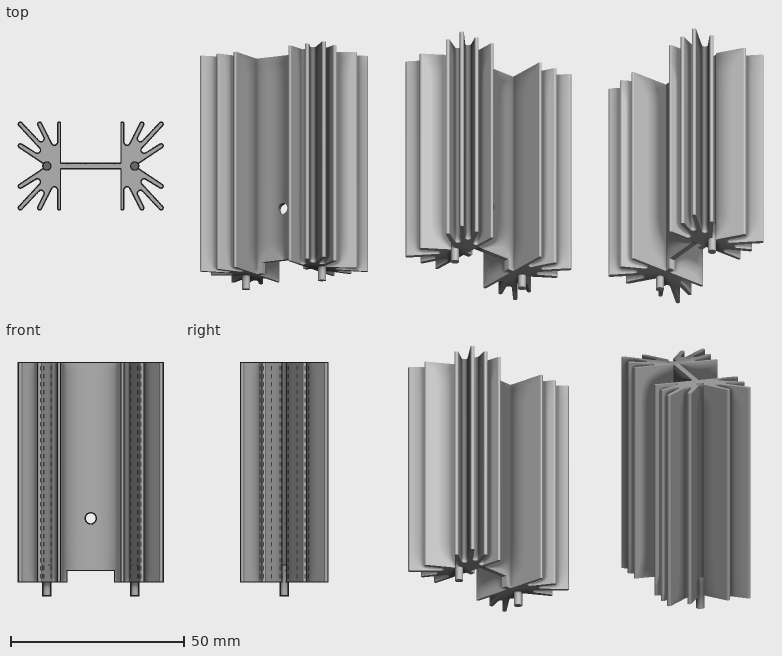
import cadquery as cq
import math

overall_width = 41.91
overall_depth = 25.4
sink_height = 63.5

web_thickness = 1.65
web_half_length = 8.69
upright_fin_thickness = 0.91

fin_tip_radius = 0.6
valley_radius = 0.88
upright_tip_radius = upright_fin_thickness / 2

pin_diameter = 2.36
pin_spacing = 25.4
pin_projection = 3.96
pin_insertion = 4.95

screw_hole_diameter = 3.17
screw_hole_height = 18.4

notch_width = 13.6
notch_height = 3.3

pin_x = -pin_spacing / 2
outer_tip_x = -overall_width / 2 + fin_tip_radius
outer_tip_y = overall_depth / 2 - fin_tip_radius
upright_tip_x = -web_half_length - upright_tip_radius
upright_valley_x = -web_half_length - upright_fin_thickness - valley_radius

low_tip = (outer_tip_x, 5.85)
low_valley = (-15.42, 4.58)
diagonal_tip = (outer_tip_x, outer_tip_y)
steep_valley = (-14.36, 7.9)
steep_tip = (-14.78, outer_tip_y)
upright_valley = (upright_valley_x, 6.88)
upright_tip = (upright_tip_x, overall_depth / 2 - upright_tip_radius)
web_corner = (-web_half_length, web_thickness / 2)

quarter_outline = [
    ((pin_x, 0), 0),
    (low_tip, fin_tip_radius),
    (low_valley, -valley_radius),
    (diagonal_tip, fin_tip_radius),
    (steep_valley, -valley_radius),
    (steep_tip, fin_tip_radius),
    (upright_valley, -valley_radius),
    (upright_tip, upright_tip_radius),
    (web_corner, 0),
]


def tangent_normal_angle(start, end):
    """Angle of the left-hand normal of the straight line tangent to two outline circles."""
    (start_x, start_y), start_radius = start
    (end_x, end_y), end_radius = end
    run = end_x - start_x
    rise = end_y - start_y
    swing = math.asin((end_radius - start_radius) / math.hypot(run, rise))
    return math.atan2(rise, run) + swing + math.pi / 2


def point_on(circle, angle):
    """Point of an outline circle at an angle; a negative radius gives the opposite side."""
    (x, y), radius = circle
    return (x + radius * math.cos(angle), y + radius * math.sin(angle))


def quarter_of_sink():
    normals = [tangent_normal_angle(a, b) for a, b in zip(quarter_outline, quarter_outline[1:])]
    profile = cq.Workplane("XY").moveTo(pin_x, 0)
    for circle, angle_in, angle_out in zip(quarter_outline[1:-1], normals, normals[1:]):
        turn_sign = math.copysign(1, -circle[1])
        turn = turn_sign * ((turn_sign * (angle_out - angle_in)) % (2 * math.pi))
        profile = profile.lineTo(*point_on(circle, angle_in))
        profile = profile.threePointArc(point_on(circle, angle_in + turn / 2), point_on(circle, angle_out))
    profile = profile.lineTo(*web_corner).lineTo(0, web_thickness / 2).lineTo(0, 0).close()
    return profile.extrude(sink_height)


def pin_cylinders(bottom, length):
    pin_places = [(pin_x, 0), (-pin_x, 0)]
    plane = cq.Workplane("XY").workplane(offset=bottom).pushPoints(pin_places)
    return plane.circle(pin_diameter / 2).extrude(length)


def heat_sink():
    quarter = quarter_of_sink()
    half = quarter.union(quarter.mirror("XZ"))
    body = half.union(half.mirror("YZ")).clean()

    body = body.cut(pin_cylinders(0, sink_height))

    screw_hole = (
        cq.Workplane("XZ")
        .center(0, screw_hole_height)
        .circle(screw_hole_diameter / 2)
        .extrude(web_thickness, both=True)
    )
    notch = cq.Workplane("XY").box(
        notch_width, 2 * web_thickness, notch_height, centered=(True, True, False)
    )
    return body.cut(screw_hole).cut(notch)


sink = heat_sink()
pins = pin_cylinders(-pin_projection, pin_projection + pin_insertion)

result = cq.Compound.makeCompound([sink.solids().val(), *pins.solids().vals()])